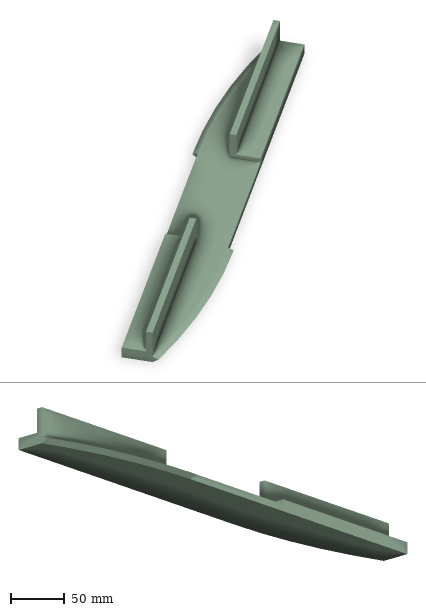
import cadquery as cq
import math

half_length = 237.5
half_width = 30.5
plate_thickness = 7.0
turn_angle = 26.1

arm_start = 64.5
wall_outer_x = 0.5
wall_thickness = 6.5
pad_top = 12.0
wall_top = 36.0

edge_width = 5.5
edge_height = 4.0
arm_length = half_length - arm_start
edge_inset = half_width + wall_outer_x
land_radius = (arm_length**2 + edge_inset**2) / (2 * edge_inset)
arc_center_x = land_radius - half_width
sweep_angle = math.degrees(math.asin(arm_length / land_radius))
spare_angle = 2


def box_between(x_range, y_range, top):
    """Box standing on the ground plane."""
    size_x = x_range[1] - x_range[0]
    size_y = y_range[1] - y_range[0]
    return cq.Workplane("XY").box(size_x, size_y, top, centered=False).translate((x_range[0], y_range[0], 0))


def land():
    """Half of the flat plate, with its curved side ending at the wall."""
    half_sweep = math.radians(sweep_angle / 2)
    arc_middle = (
        arc_center_x - land_radius * math.cos(half_sweep),
        arm_start + land_radius * math.sin(half_sweep),
    )
    return (
        cq.Workplane("XY")
        .moveTo(half_width, 0)
        .lineTo(half_width, half_length)
        .lineTo(wall_outer_x, half_length)
        .threePointArc(arc_middle, (-half_width, arm_start))
        .lineTo(-half_width, 0)
        .close()
        .extrude(plate_thickness)
    )


def knife_edge():
    """Double-bevelled edge revolved around the arc center and cut flush with the bar end."""
    edge = (
        cq.Workplane("XZ", origin=(arc_center_x, arm_start, 0))
        .polyline([(-land_radius, 0), (-land_radius - edge_width, edge_height), (-land_radius, plate_thickness)])
        .close()
        .revolve(sweep_angle + spare_angle, (0, 0, 0), (0, -1, 0))
    )
    arm_space = box_between((-2 * half_width, half_width), (0, half_length), wall_top)
    return edge.intersect(arm_space)


def half_bar():
    arm_range = (arm_start, half_length)
    pad = box_between((wall_outer_x, half_width), arm_range, pad_top)
    wall = box_between((wall_outer_x, wall_outer_x + wall_thickness), arm_range, wall_top)
    return land().union(pad).union(wall).union(knife_edge())


half = half_bar()
bar = half.union(half.rotate((0, 0, 0), (0, 0, 1), 180)).clean()
result = bar.rotate((0, 0, 0), (0, 0, 1), turn_angle)